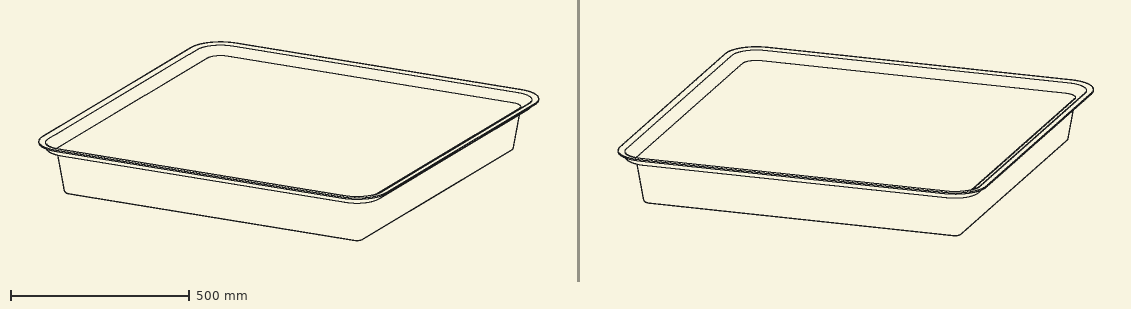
import cadquery as cq
import math

SIDE = 1088.0
HEIGHT = 152.0
SHEET = 3.8
CORNER_RADIUS = 92.0
STEP_INSET = 23.0
WALL_INSET = 53.0
WALL_DRAFT = math.radians(10)
BEND_RADIUS = 10.3
SHARP = 0.0

STEP_DEPTH = 2 * BEND_RADIUS
LEDGE_HEIGHT = HEIGHT - STEP_DEPTH
FLOOR_INSET = WALL_INSET + (LEDGE_HEIGHT - SHEET) * math.tan(WALL_DRAFT)
STRAIGHT_LENGTH = SIDE - 2 * CORNER_RADIUS
HALF_STRAIGHT = STRAIGHT_LENGTH / 2

WALL_SHIFT = SHEET * math.tan((math.pi / 2 - WALL_DRAFT) / 2)

COINCIDENT = 1.09e-05


def corner_arc(before, corner, after, radius):
    """Start, middle and end of the arc that rounds a corner between two straight lines."""
    back = (before - corner).normalized()
    ahead = (after - corner).normalized()
    half_angle = back.getAngle(ahead) / 2
    tangent_length = radius / math.tan(half_angle)
    middle_distance = radius / math.sin(half_angle) - radius
    middle = corner + (back + ahead).normalized() * middle_distance
    return corner + back * tangent_length, middle, corner + ahead * tangent_length


def rounded_face(corners):
    """Flat face from (point, radius) corners in order; the first corner must be sharp."""
    points = [point for point, _ in corners]
    position = points[0]
    edges = []
    for index, (corner, radius) in enumerate(corners[1:] + corners[:1], start=1):
        start = middle = end = corner
        if radius > SHARP:
            after = points[(index + 1) % len(points)]
            start, middle, end = corner_arc(points[index - 1], corner, after, radius)
        if (start - position).Length > COINCIDENT:
            edges.append(cq.Edge.makeLine(position, start))
        if radius > SHARP:
            edges.append(cq.Edge.makeThreePointArc(start, middle, end))
        position = end
    return cq.Face.makeFromWires(cq.Wire.assembleEdges(edges))


def sheet_section():
    """Rim, wall and floor edge as a face in XZ, with the axis of the rounded corners at X = 0."""
    bends = [
        (STEP_INSET, HEIGHT, SHEET, SHARP),
        (STEP_INSET, LEDGE_HEIGHT, SHEET, BEND_RADIUS),
        (WALL_INSET, LEDGE_HEIGHT, WALL_SHIFT, SHARP),
        (FLOOR_INSET, SHEET, WALL_SHIFT, BEND_RADIUS),
    ]

    def corner(inset, height, radius=SHARP):
        return cq.Vector(CORNER_RADIUS - inset, 0, height), radius

    upper = [corner(inset, height, BEND_RADIUS) for inset, height, _, _ in bends]
    lower = [
        corner(inset - shift, height - SHEET, radius) for inset, height, shift, radius in bends
    ]
    floor_end = [corner(CORNER_RADIUS, SHEET), corner(CORNER_RADIUS, 0)]
    return rounded_face(
        [corner(0, HEIGHT)] + upper + floor_end + lower[::-1] + [corner(0, HEIGHT - SHEET)]
    )


def tray_side(section):
    """The straight +X side of the tray and the rounded corner at its +Y end."""
    axis_start = cq.Vector(HALF_STRAIGHT, HALF_STRAIGHT, 0)
    axis_end = axis_start + cq.Vector(0, 0, 11)
    placed = section.translate(axis_start)
    corner = cq.Solid.revolve(placed, 90, axis_start, axis_end)
    straight = cq.Solid.extrudeLinear(placed, cq.Vector(0, -STRAIGHT_LENGTH, 0))
    return cq.Workplane(corner).union(cq.Workplane(straight))


side = tray_side(sheet_section())
result = cq.Workplane().box(STRAIGHT_LENGTH, STRAIGHT_LENGTH, SHEET, centered=(True, True, False))
for quarter in range(4):
    result = result.union(side.rotate((0, 0, 0), (0, 0, 1), 90 * quarter))
result = result.clean()